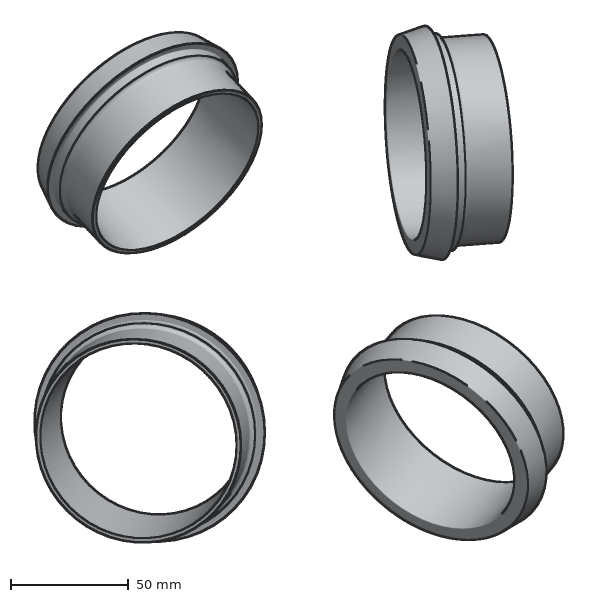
import cadquery as cq
import math

total_length = 37.0
flange_back = 12.0
shoulder_end = 16.0

throat_radius = 40.6
flange_radius = 50.0
shoulder_radius = 46.5
tube_radius = 44.5
tube_wall = 2.0
bore_rear_radius = tube_radius - tube_wall

face_angle = math.radians(5.0)
flank_angle = math.radians(15.0)

bore_lip_radius = 0.4
face_edge_radius = 0.3
flange_back_chamfer = 0.2
flange_root_radius = 0.4
shoulder_root_radius = 2.4
tube_end_chamfer = 0.2

pick_tolerance = 0.01

lip_centre_radius = throat_radius + bore_lip_radius
face_start = bore_lip_radius * (1 - math.cos(face_angle))
face_start_radius = lip_centre_radius + bore_lip_radius * math.sin(face_angle)

face_slope = math.tan(face_angle)
flank_slope = math.tan(flank_angle)
flank_end = flange_back - flange_back_chamfer
flank_radius_at_zero = flange_radius - flank_end * flank_slope
face_position_at_axis = face_start - face_start_radius * face_slope
face_edge = (face_position_at_axis + flank_radius_at_zero * face_slope) / (1 - face_slope * flank_slope)
face_edge_circle = flank_radius_at_zero + face_edge * flank_slope

root_centre_radius = tube_radius + shoulder_root_radius
root_start_drop = root_centre_radius - shoulder_radius
root_end = shoulder_end + math.sqrt(shoulder_root_radius**2 - root_start_drop**2)
root_start_angle = math.asin(root_start_drop / shoulder_root_radius)
root_mid_angle = (root_start_angle + math.pi / 2) / 2
root_mid = (
    root_end - shoulder_root_radius * math.cos(root_mid_angle),
    root_centre_radius - shoulder_root_radius * math.sin(root_mid_angle),
)


def revolved_ring():
    """Ring revolved from its half section (X along the axis, Y as the radius)."""
    section = (
        cq.Workplane("XY")
        .moveTo(bore_lip_radius, throat_radius)
        .threePointArc((0, lip_centre_radius), (face_start, face_start_radius))
        .lineTo(face_edge, face_edge_circle)
        .lineTo(flank_end, flange_radius)
        .lineTo(flange_back, flange_radius - flange_back_chamfer)
        .lineTo(flange_back, shoulder_radius)
        .lineTo(shoulder_end, shoulder_radius)
        .threePointArc(root_mid, (root_end, tube_radius))
        .lineTo(total_length - tube_end_chamfer, tube_radius)
        .lineTo(total_length, tube_radius - tube_end_chamfer)
        .lineTo(total_length, bore_rear_radius)
        .close()
    )
    return section.revolve(360, (0, 0, 0), (1, 0, 0))


def round_circle(ring, axial_position, circle_radius, fillet_radius):
    """Fillet the circular edge found at the given place along the axis and radius."""
    edges = [
        edge
        for edge in ring.edges("%CIRCLE").vals()
        if abs(edge.Center().x - axial_position) < pick_tolerance
        and abs(edge.radius() - circle_radius) < pick_tolerance
    ]
    return ring.newObject(edges).fillet(fillet_radius)


ring = revolved_ring()
ring = round_circle(ring, face_edge, face_edge_circle, face_edge_radius)
result = round_circle(ring, flange_back, shoulder_radius, flange_root_radius)